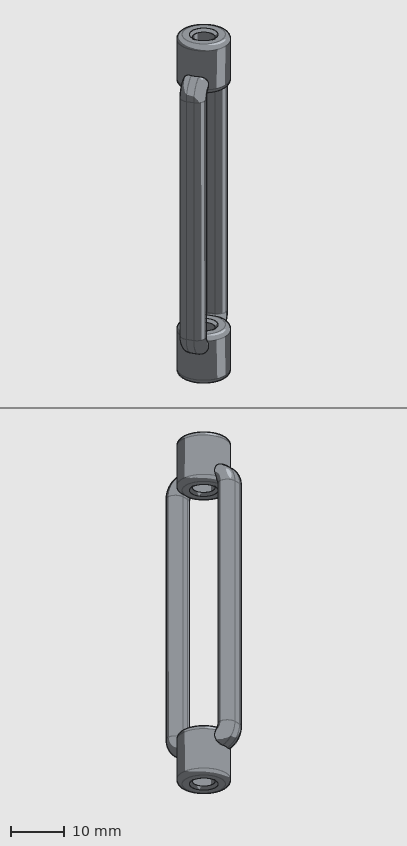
import cadquery as cq
import math

length = 70.0
overall_depth = 15.5

boss_diameter = 10.0
boss_height = 10.0
boss_edge_radius = 1.0
bore_diameter = 4.2
bore_mouth_diameter = 5.3

arm_width = 5.0
arm_thickness = 3.5
bend_start_depth = 10.4
bend_radius = 2.65

half_length = length / 2
boss_center_z = half_length - boss_height / 2
arm_center_y = (overall_depth - arm_thickness) / 2
bend_start_z = half_length - bend_start_depth
bend_center_y = arm_center_y - bend_radius
root_z = bend_start_z + bend_radius


def make_boss(center_z):
    """Solid cylinder along Z with both rims rounded."""
    boss = cq.Workplane("XY").workplane(offset=center_z).cylinder(boss_height, boss_diameter / 2)
    return boss.edges("%CIRCLE").fillet(boss_edge_radius)


def make_bore_cutter(center_z):
    """Through bore with a 45 degree countersink at both mouths."""
    bore_radius = bore_diameter / 2
    mouth_radius = bore_mouth_diameter / 2
    countersink_depth = mouth_radius - bore_radius
    half_height = boss_height / 2
    profile = [
        (0, -half_height),
        (mouth_radius, -half_height),
        (bore_radius, -half_height + countersink_depth),
        (bore_radius, half_height - countersink_depth),
        (mouth_radius, half_height),
        (0, half_height),
    ]
    cutter = cq.Workplane("XZ").polyline(profile).close().revolve(360, (0, 0, 0), (0, 1, 0))
    return cutter.translate((0, 0, center_z))


def make_arm():
    """Arm on the +Y side, bent inward at both ends so that its roots lie inside the bosses."""
    bend_mid_offset = bend_radius * math.sin(math.radians(45))
    bend_mid_y = bend_center_y + bend_mid_offset
    bend_mid_z = bend_start_z + bend_mid_offset
    path = (
        cq.Workplane("YZ")
        .moveTo(bend_center_y, -root_z)
        .threePointArc((bend_mid_y, -bend_mid_z), (arm_center_y, -bend_start_z))
        .lineTo(arm_center_y, bend_start_z)
        .threePointArc((bend_mid_y, bend_mid_z), (bend_center_y, root_z))
    )
    section = cq.Workplane("XZ", origin=(0, bend_center_y, -root_z)).slot2D(arm_width, arm_thickness)
    return section.sweep(path)


arm = make_arm()
result = arm.union(arm.mirror("XZ"))
for boss_z in (-boss_center_z, boss_center_z):
    result = result.union(make_boss(boss_z)).cut(make_bore_cutter(boss_z))